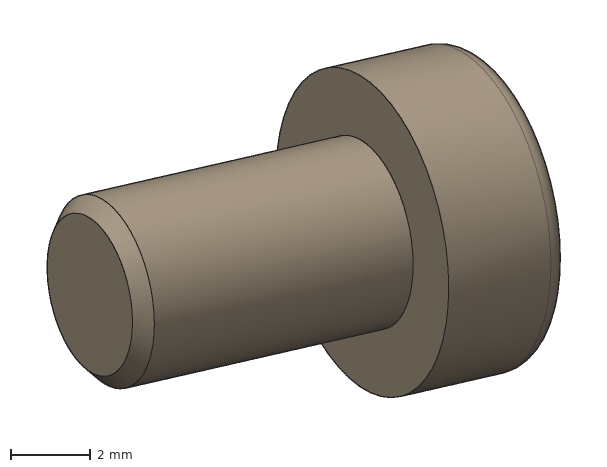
import cadquery as cq

total_length = 11.5
head_diameter = 8.5
head_height = 3.5
head_edge_radius = 0.5
shank_diameter = 5.0
tip_chamfer = 0.4

shank_length = total_length - head_height


def cylinder_along_y(diameter, length):
    """Cylinder from the underside of the head (Y = 0); negative length runs toward -Y."""
    return cq.Workplane("XZ").circle(diameter / 2).extrude(-length)


head = cylinder_along_y(head_diameter, head_height).faces(">Y").edges().fillet(head_edge_radius)

shank = cylinder_along_y(shank_diameter, -shank_length).faces("<Y").edges().chamfer(tip_chamfer)

result = head.union(shank)